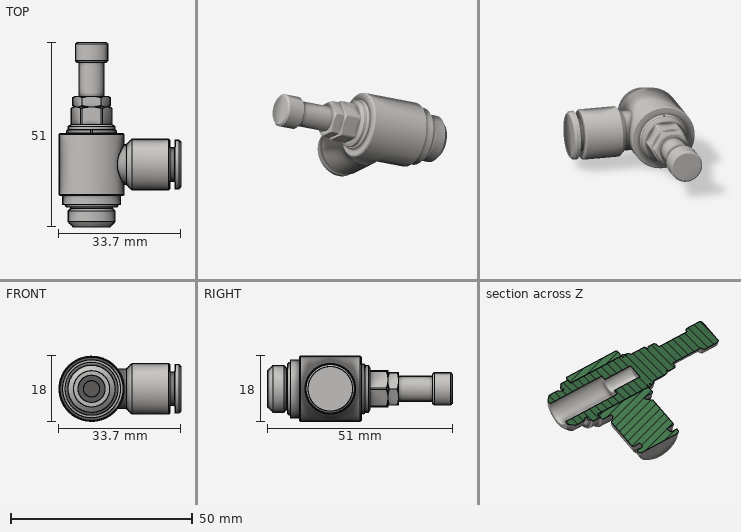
import cadquery as cq
import math


body_diameter = 18.0
body_length = 17.1
body_chamfer = 0.3
bolt_bore_diameter = 13.0
branch_neck_diameter = 11.0
branch_diameter = 14.0
branch_cone_start = 9.6
branch_cone_end = branch_cone_start + (branch_diameter - branch_neck_diameter) / 2
branch_end = 21.6
branch_end_chamfer = 0.3

sleeve_neck_diameter = 9.3
sleeve_root_bevel = 0.25
sleeve_flange_diameter = 13.5
sleeve_flange_start = 23.1
sleeve_end = 24.7
sleeve_chamfer = 0.6

body_half = body_length / 2
shank_diameter = bolt_bore_diameter
tip_chamfer = 1.5
tip_length = 4.45
relief_diameter = 11.6
relief_taper = (shank_diameter - relief_diameter) / 2
collar_diameter = 16.0
collar_thickness = 2.5
collar_to_tip = 6.25
collar_front = -body_half - collar_thickness
tip_y = collar_front - collar_to_tip
seal_section_diameter = 1.5
seal_centre_radius = (relief_diameter + seal_section_diameter) / 2

ring_groove_width = 1.1
ring_groove_diameter = 11.95
ring_section_diameter = 1.0
ring_outer_diameter = 13.8
ring_gap = 0.5
ring_y = body_half + ring_section_diameter / 2
flange_start = body_half + ring_groove_width
flange_thickness = 1.35
flange_end = flange_start + flange_thickness
hex_across_flats = 10.0
hex_corner_diameter = 11.3
hex_length = 4.9
hex_end = flange_end + hex_length
nut_across_flats = 9.0
nut_length = 2.95
nut_end = hex_end + nut_length
wrench_chamfer_angle = 30.0
rod_diameter = 7.0
rod_length = 9.36
knob_start = nut_end + rod_length
knob_diameter = 9.0
knob_length = 5.5
knob_chamfer = 0.5

passage_diameter = 7.5
passage_end = 0.0
orifice_diameter = 4.5
orifice_end = body_half


def cylinder_y(diameter, start, end):
    """Cylinder on the Y axis between two Y positions."""
    return cq.Workplane("XZ", origin=(0, start, 0)).circle(diameter / 2).extrude(start - end)


def cylinder_x(diameter, start, end):
    """Cylinder on the X axis between two X positions."""
    return cq.Workplane("YZ", origin=(start, 0, 0)).circle(diameter / 2).extrude(end - start)


def revolve_y(profile):
    """Turned solid on the Y axis from (radius, y) points."""
    return cq.Workplane("XY").polyline(profile).close().revolve(360, (0, 0, 0), (0, 1, 0))


def torus_y(centre_radius, section_diameter, y):
    """Round-section ring about the Y axis."""
    plane = cq.Plane(origin=(centre_radius, y, 0), xDir=(-1, 0, 0), normal=(0, 0, 1))
    section = cq.Workplane(plane).circle(section_diameter / 2)
    return section.revolve(360, (centre_radius, 0, 0), (centre_radius, 1, 0))


def across_corners(across_flats):
    """Corner-to-corner size of a regular hexagon."""
    return across_flats / math.cos(math.pi / 6)


def hexagon_y(across_flats, start, end):
    """Hexagonal prism on the Y axis with two corners on the X axis."""
    base = cq.Workplane("XZ", origin=(0, start, 0))
    return base.polygon(6, across_corners(across_flats)).extrude(start - end)


def hexagon_envelope(across_flats, corner_radius, start, end, chamfer_start):
    """Turned blank that rounds the hexagon corners and bevels its ends."""
    face_radius = across_flats / 2
    bevel = (corner_radius - face_radius) * math.tan(math.radians(wrench_chamfer_angle))
    profile = [(0, start)]
    if chamfer_start:
        profile += [(face_radius, start), (corner_radius, start + bevel)]
    else:
        profile += [(corner_radius, start)]
    profile += [(corner_radius, end - bevel), (face_radius, end), (0, end)]
    return revolve_y(profile)


def make_housing():
    """Swivel housing: bored body, side branch and release sleeve."""
    body = cylinder_y(body_diameter, -body_half, body_half)
    body = body.faces("<Y or >Y").chamfer(body_chamfer)

    sleeve_neck_radius = sleeve_neck_diameter / 2
    branch_profile = [
        (0, 0),
        (0, branch_neck_diameter / 2),
        (branch_cone_start, branch_neck_diameter / 2),
        (branch_cone_end, branch_diameter / 2),
        (branch_end - branch_end_chamfer, branch_diameter / 2),
        (branch_end, branch_diameter / 2 - branch_end_chamfer),
        (branch_end, sleeve_neck_radius),
        (sleeve_flange_start - sleeve_root_bevel, sleeve_neck_radius),
        (sleeve_flange_start, sleeve_neck_radius + sleeve_root_bevel),
        (sleeve_flange_start, 0),
    ]
    branch = cq.Workplane("XY").polyline(branch_profile).close().revolve(360, (0, 0, 0), (1, 0, 0))

    sleeve_flange = cylinder_x(sleeve_flange_diameter, sleeve_flange_start, sleeve_end)
    sleeve_flange = sleeve_flange.faces(">X").chamfer(sleeve_chamfer)

    outside = body.union(branch).union(sleeve_flange)
    return outside.cut(cylinder_y(bolt_bore_diameter, -body_half, body_half))


def make_snap_ring():
    """Split retaining ring, fixed in its groove, with the gap on top."""
    centre_radius = (ring_outer_diameter - ring_section_diameter) / 2
    ring = torus_y(centre_radius, ring_section_diameter, ring_y)
    gap = cq.Workplane("XY").box(ring_gap, ring_section_diameter, ring_outer_diameter)
    return ring.cut(gap.translate((0, ring_y, ring_outer_diameter / 2)))


def make_bolt():
    """Banjo bolt with seal, snap ring, hexagons, adjusting rod and knob."""
    shank_radius = shank_diameter / 2
    relief_radius = relief_diameter / 2
    collar_radius = collar_diameter / 2
    groove_radius = ring_groove_diameter / 2
    hex_corner_radius = hex_corner_diameter / 2
    flange_bevel = (shank_radius - hex_corner_radius) * math.tan(math.radians(wrench_chamfer_angle))
    shank = revolve_y([
        (0, tip_y),
        (shank_radius - tip_chamfer, tip_y),
        (shank_radius, tip_y + tip_chamfer),
        (shank_radius, tip_y + tip_length),
        (relief_radius, tip_y + tip_length + relief_taper),
        (relief_radius, collar_front),
        (collar_radius, collar_front),
        (collar_radius, -body_half),
        (shank_radius, -body_half),
        (shank_radius, body_half),
        (groove_radius, body_half),
        (groove_radius, flange_start),
        (shank_radius, flange_start),
        (shank_radius, flange_end - flange_bevel),
        (hex_corner_radius, flange_end),
        (0, flange_end),
    ])
    seal = torus_y(seal_centre_radius, seal_section_diameter, collar_front)

    large_hex = hexagon_y(hex_across_flats, flange_end, hex_end).intersect(
        hexagon_envelope(hex_across_flats, hex_corner_radius, flange_end, hex_end, False)
    )
    nut_corner_radius = across_corners(nut_across_flats) / 2
    nut = hexagon_y(nut_across_flats, hex_end, nut_end).intersect(
        hexagon_envelope(nut_across_flats, nut_corner_radius, hex_end, nut_end, True)
    )

    rod = cylinder_y(rod_diameter, nut_end, knob_start)
    knob = cylinder_y(knob_diameter, knob_start, knob_start + knob_length)
    knob = knob.faces("<Y or >Y").chamfer(knob_chamfer)

    bolt = shank.union(seal).union(make_snap_ring())
    bolt = bolt.union(large_hex).union(nut).union(rod).union(knob)

    passage = cylinder_y(passage_diameter, tip_y, passage_end)
    orifice = cylinder_y(orifice_diameter, passage_end, orifice_end)
    return bolt.cut(passage).cut(orifice)


housing = make_housing()
bolt = make_bolt()
result = cq.Compound.makeCompound([*housing.solids().vals(), *bolt.solids().vals()])